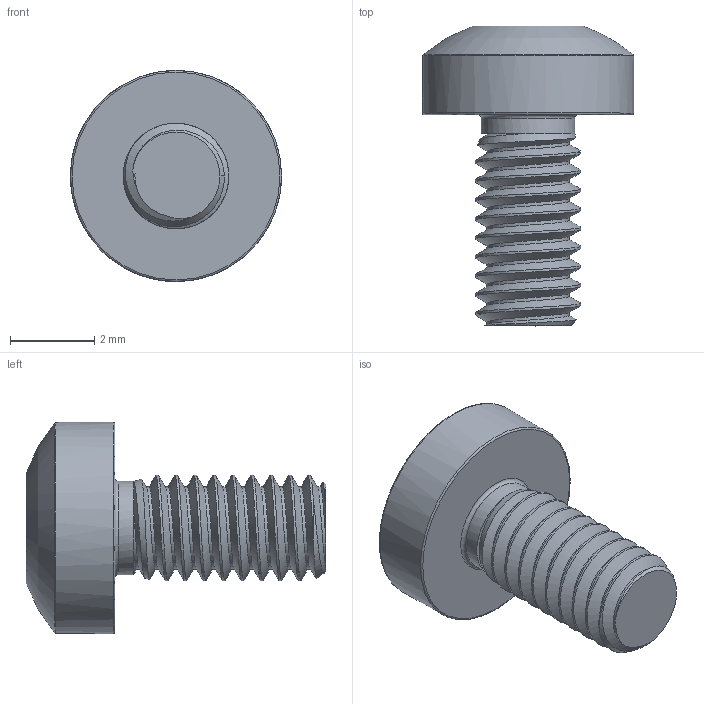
import cadquery as cq
import math


MAJOR_RADIUS = 2.5 / 2
PITCH = 0.45
SHARP_V_HEIGHT = PITCH * math.sqrt(3) / 2
PITCH_RADIUS = MAJOR_RADIUS - 3 / 8 * SHARP_V_HEIGHT
ROOT_RADIUS = MAJOR_RADIUS - 17 / 24 * SHARP_V_HEIGHT
FLANK_HALF_ANGLE = math.radians(30)
CREST_FLAT = PITCH / 8
CREST_TO_TIP = 0.51

SHANK_LENGTH = 5.0
NECK_LENGTH = PITCH
NECK_RADIUS = PITCH_RADIUS
RUNOUT_LENGTH = PITCH
NECK_FILLET = 0.085
TIP_RADIUS = 1.04
TIP_CHAMFER_ANGLE = math.radians(35)

HEAD_RADIUS = 5.0 / 2
HEAD_HEIGHT = 2.1
TOP_FLAT_RADIUS = 1.3
CROWN_RADIUS = 3.9
EDGE_ROUND = 0.04

RIDGE_EMBED = 0.02
CUT_MARGIN = 0.1


def crown_z(radius):
    """Local Z of the spherical crown at a given distance from the axis."""
    sphere_centre = -HEAD_HEIGHT + math.sqrt(CROWN_RADIUS**2 - TOP_FLAT_RADIUS**2)
    return sphere_centre - math.sqrt(CROWN_RADIUS**2 - radius**2)


def revolve_outline(outline):
    """Close a (radius, Z) outline and turn it about the Z axis."""
    return outline.close().revolve(360, (0, 0, 0), (0, 1, 0))


def make_head():
    """Round head with a spherical crown, a flat top and softened rim edges."""
    middle_radius = (HEAD_RADIUS + TOP_FLAT_RADIUS) / 2
    outline = (
        cq.Workplane("XZ")
        .lineTo(HEAD_RADIUS, 0)
        .lineTo(HEAD_RADIUS, crown_z(HEAD_RADIUS))
        .threePointArc((middle_radius, crown_z(middle_radius)), (TOP_FLAT_RADIUS, -HEAD_HEIGHT))
        .lineTo(0, -HEAD_HEIGHT)
    )
    rim_edges = cq.selectors.RadiusNthSelector(1)
    return revolve_outline(outline).edges(rim_edges).fillet(EDGE_ROUND)


def make_neck():
    """Plain neck, flared by a fillet where it meets the bearing face."""
    fillet_middle = NECK_FILLET * (1 - math.sqrt(0.5))
    outline = (
        cq.Workplane("XZ")
        .lineTo(NECK_RADIUS + NECK_FILLET, 0)
        .threePointArc((NECK_RADIUS + fillet_middle, fillet_middle), (NECK_RADIUS, NECK_FILLET))
        .lineTo(NECK_RADIUS, NECK_LENGTH)
        .lineTo(0, NECK_LENGTH)
    )
    return revolve_outline(outline)


def make_thread_ridge():
    """Helical ridge that runs past both ends of the threaded length.

    It is bounded by ruled surfaces between four helices: two along the crest and two
    along the base, which is sunk a little into the thread core.
    """
    base_radius = ROOT_RADIUS - RIDGE_EMBED
    half_crest = CREST_FLAT / 2
    half_base = half_crest + (MAJOR_RADIUS - base_radius) * math.tan(FLANK_HALF_ANGLE)
    start_z = SHANK_LENGTH - CREST_TO_TIP - PITCH * math.ceil(SHANK_LENGTH / PITCH)
    ridge_length = PITCH * (math.ceil(SHANK_LENGTH / PITCH) + 2)
    profile = [
        (base_radius, start_z - half_base),
        (MAJOR_RADIUS, start_z - half_crest),
        (MAJOR_RADIUS, start_z + half_crest),
        (base_radius, start_z + half_base),
    ]
    helices = [
        cq.Wire.makeHelix(PITCH, ridge_length, radius).translate(cq.Vector(0, 0, z)).Edges()[0]
        for radius, z in profile
    ]
    faces = []
    for index, helix in enumerate(helices):
        faces.append(cq.Face.makeRuledSurface(helices[index - 1], helix))
    for end_z in (0, ridge_length):
        corners = [cq.Vector(radius, 0, z + end_z) for radius, z in profile]
        faces.append(cq.Face.makeFromWires(cq.Wire.makePolygon(corners, close=True)))
    return cq.Workplane(cq.Solid.makeSolid(cq.Shell.makeShell(faces)))


def make_thread():
    """Thread core and ridge, cut square at the neck and at the tip."""
    core = (
        cq.Workplane("XY")
        .workplane(offset=-2 * PITCH)
        .circle(ROOT_RADIUS)
        .extrude(SHANK_LENGTH + 4 * PITCH)
    )
    between_ends = (
        cq.Workplane("XY")
        .workplane(offset=NECK_LENGTH)
        .rect(2 * HEAD_RADIUS, 2 * HEAD_RADIUS)
        .extrude(SHANK_LENGTH - NECK_LENGTH)
    )
    return core.union(make_thread_ridge()).intersect(between_ends)


def make_trimming_ring(inner_radius, inner_z, outer_z):
    """Ring that cuts a cone from (inner_radius, inner_z) out to the major radius at outer_z."""
    slope = (MAJOR_RADIUS - inner_radius) / (outer_z - inner_z)
    overshoot = math.copysign(CUT_MARGIN, outer_z - inner_z)
    near_z = inner_z - overshoot
    far_z = outer_z + overshoot
    outside_radius = MAJOR_RADIUS + 2 * CUT_MARGIN
    outline = (
        cq.Workplane("XZ")
        .moveTo(inner_radius - slope * overshoot, near_z)
        .lineTo(MAJOR_RADIUS + slope * overshoot, far_z)
        .lineTo(outside_radius, far_z)
        .lineTo(outside_radius, near_z)
    )
    return revolve_outline(outline)


def make_threaded_shank():
    """Thread that fades in from the neck and is chamfered at the tip."""
    tip_chamfer_length = (MAJOR_RADIUS - TIP_RADIUS) / math.tan(TIP_CHAMFER_ANGLE)
    runout = make_trimming_ring(NECK_RADIUS, NECK_LENGTH, NECK_LENGTH + RUNOUT_LENGTH)
    tip_chamfer = make_trimming_ring(TIP_RADIUS, SHANK_LENGTH, SHANK_LENGTH - tip_chamfer_length)
    return make_thread().cut(runout).cut(tip_chamfer)


screw = make_head().union(make_neck()).union(make_threaded_shank())
result = screw.rotate((0, 0, 0), (1, 0, 0), 90)